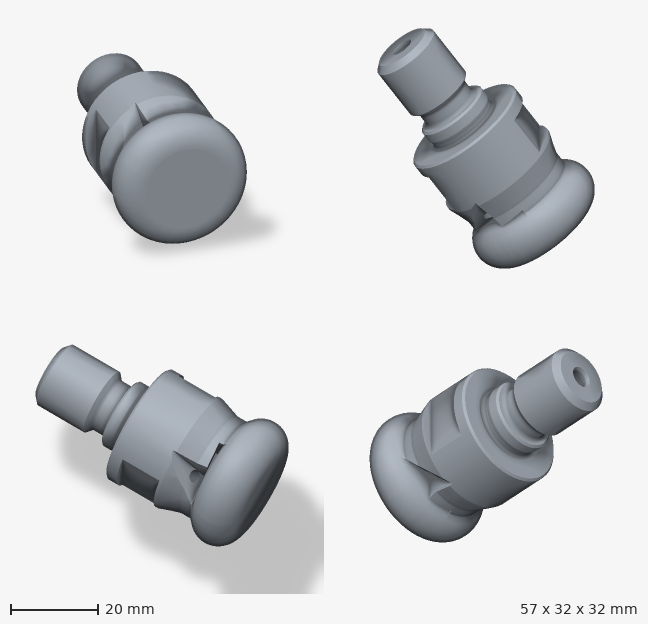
import cadquery as cq
import math

length = 57.0
head_diameter = 31.95
head_radius = head_diameter / 2

rim_radius = 5.8
head_center_x = length - rim_radius
rim_center_radius = head_radius - rim_radius
head_back_x = head_center_x - rim_radius

shank_radius = 8.05
shank_chamfer_length = 1.4
shank_chamfer_depth = 1.55
shank_end_x = 13.95
neck_radius = 6.5
neck_start_x = 15.85
neck_end_x = 17.9
neck_blend_angle = math.radians(45)
neck_blend_radius = 1.15

collar_radius = 8.5
collar_start_x = 18.9
collar_chamfer = 0.5
collar_end_x = 21.7
undercut_radius = 8.15
undercut_start_x = 22.7
undercut_blend = 0.7
undercut_depth = 0.15
undercut_outer_radius = 9.5

flange_x = 23.9
body_radius = 14.55
body_chamfer = 0.5
body_end_x = 37.65
throat_radius = 12.8
throat_start_x = 42.85
throat_end_x = 45.65
flare_end_x = 46.65
flare_radius = rim_center_radius + math.sqrt(rim_radius**2 - (head_center_x - flare_end_x)**2)

flat_start_x = 27.05
flat_end_x = 37.0
flat_offset = 12.1

pocket_count = 2
pocket_tip_x = 36.65
pocket_tip_z = 13.35
pocket_slope = math.radians(44.5)
pocket_wall_tip_y = -5.85
pocket_wall_tilt = math.radians(7.3)
clear = 2 * body_radius
pocket_end_x = head_center_x
pocket_run = pocket_end_x - pocket_tip_x

slot_top_x = 44.6
slot_top_y = 1.6
slot_top_z = 12.7
slot_lean_degrees = 7.0
slot_floor_z = pocket_tip_z - (head_back_x - pocket_tip_x) * math.tan(pocket_slope)

port_radius = 1.5
port_x = 43.1
port_y = -6.5
port_depth = 3.4
center_hole_radius = 2.15
center_hole_mouth_radius = 2.6
center_hole_chamfer = 0.8
center_hole_depth = 3.4
drill_point_half_angle = math.radians(59)
drill_point_length = center_hole_radius / math.tan(drill_point_half_angle)


def revolve_about_x(profile):
    return profile.close().revolve(360, (0, 0, 0), (1, 0, 0))


def make_body():
    """Shank, grooved neck, pilot collar and tapered body as one turned profile."""
    blend_x = neck_start_x - neck_blend_radius * math.sin(neck_blend_angle)
    blend_r = neck_radius + neck_blend_radius * (1 - math.cos(neck_blend_angle))
    neck_corner = collar_start_x - neck_end_x
    undercut_end_x = flange_x + undercut_depth
    blend_start_x = undercut_end_x - undercut_blend
    profile = (
        cq.Workplane("XY")
        .lineTo(0, shank_radius - shank_chamfer_depth)
        .lineTo(shank_chamfer_length, shank_radius)
        .lineTo(shank_end_x, shank_radius)
        .lineTo(blend_x, blend_r)
        .tangentArcPoint((neck_start_x, neck_radius), relative=False)
        .lineTo(neck_end_x, neck_radius)
        .tangentArcPoint((collar_start_x, neck_radius + neck_corner), relative=False)
        .lineTo(collar_start_x, collar_radius - collar_chamfer)
        .lineTo(collar_start_x + collar_chamfer, collar_radius)
        .lineTo(collar_end_x, collar_radius)
        .lineTo(undercut_start_x, undercut_radius)
        .lineTo(blend_start_x, undercut_radius)
        .tangentArcPoint((undercut_end_x, undercut_radius + undercut_blend), relative=False)
        .lineTo(flange_x, undercut_outer_radius)
        .lineTo(flange_x, body_radius - body_chamfer)
        .lineTo(flange_x + body_chamfer, body_radius)
        .lineTo(body_end_x, body_radius)
        .lineTo(throat_start_x, throat_radius)
        .lineTo(throat_end_x, throat_radius)
        .lineTo(flare_end_x, flare_radius)
        .lineTo(flare_end_x, 0)
    )
    return revolve_about_x(profile)


def make_head():
    profile = (
        cq.Workplane("XY")
        .moveTo(head_back_x, 0)
        .lineTo(head_back_x, rim_center_radius)
        .threePointArc((head_center_x, head_radius), (length, rim_center_radius))
        .lineTo(length, 0)
    )
    return revolve_about_x(profile)


def make_flat_cutter(side):
    return cq.Workplane("XY").box(
        flat_end_x - flat_start_x, body_radius, clear, centered=(False, True, True)
    ).translate((flat_start_x, side * (flat_offset + body_radius / 2), 0))


def make_chip_pocket():
    """Wedge bounded by a sloping floor and an upright, slightly skewed wall."""
    floor_end_z = pocket_tip_z - pocket_run * math.tan(pocket_slope)
    wall_end_y = pocket_wall_tip_y + pocket_run * math.tan(pocket_wall_tilt)
    above_floor = (
        cq.Workplane("XZ")
        .polyline([
            (pocket_tip_x, pocket_tip_z),
            (pocket_end_x, floor_end_z),
            (pocket_end_x, clear),
            (pocket_tip_x, clear),
        ])
        .close()
        .extrude(clear, both=True)
    )
    beside_wall = (
        cq.Workplane("XY")
        .polyline([
            (pocket_tip_x, pocket_wall_tip_y),
            (pocket_end_x, wall_end_y),
            (pocket_end_x, -clear),
            (pocket_tip_x, -clear),
        ])
        .close()
        .extrude(clear)
    )
    return above_floor.intersect(beside_wall)


def make_head_slot():
    """Slot whose rear face leans away from the head toward its floor."""
    bottom_x = slot_top_x + (slot_top_y + clear) * math.tan(pocket_wall_tilt)
    end_y = slot_top_y + (pocket_end_x - slot_top_x) * math.tan(pocket_wall_tilt)
    return (
        cq.Workplane("XY", origin=(0, 0, slot_floor_z))
        .polyline([
            (slot_top_x, slot_top_y),
            (pocket_end_x, end_y),
            (pocket_end_x, -clear),
            (bottom_x, -clear),
        ])
        .close()
        .extrude(clear)
        .rotate((slot_top_x, 0, slot_top_z), (slot_top_x, 1, slot_top_z), slot_lean_degrees)
    )


def make_port():
    """Blind hole drilled square to the pocket floor."""
    floor_z = pocket_tip_z - (port_x - pocket_tip_x) * math.tan(pocket_slope)
    inward = cq.Vector(-math.sin(pocket_slope), 0, -math.cos(pocket_slope))
    return cq.Workplane(cq.Solid.makeCylinder(
        port_radius, port_depth, cq.Vector(port_x, port_y, floor_z), inward
    ))


def make_center_hole():
    profile = (
        cq.Workplane("XY")
        .lineTo(0, center_hole_mouth_radius)
        .lineTo(center_hole_chamfer, center_hole_radius)
        .lineTo(center_hole_depth, center_hole_radius)
        .lineTo(center_hole_depth + drill_point_length, 0)
    )
    return revolve_about_x(profile)


body = make_body().cut(make_center_hole())
for side in (-1, 1):
    body = body.cut(make_flat_cutter(side))

for index in range(pocket_count):
    angle = index * 360 / pocket_count
    for cutter in (make_chip_pocket(), make_head_slot(), make_port()):
        body = body.cut(cutter.rotate((0, 0, 0), (1, 0, 0), angle))

result = body.union(make_head())